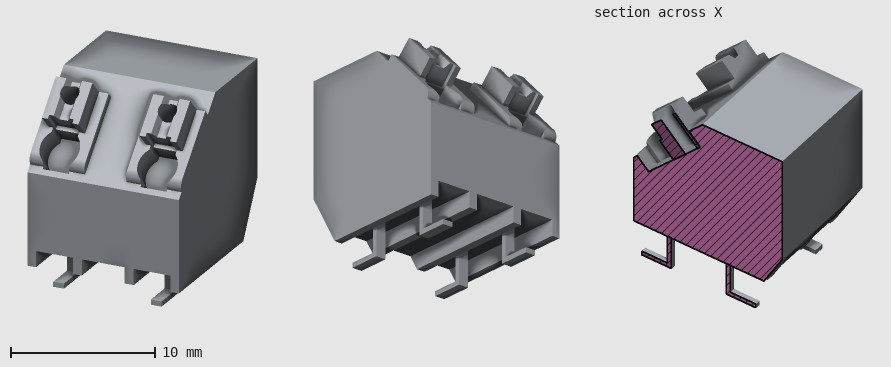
import cadquery as cq
import math


housing_width = 11.64
housing_depth = 12.7
housing_bottom = 1.55
slope_run = 5.88
back_chamfer_depth = 2.28
back_chamfer_height = back_chamfer_depth * math.tan(math.radians(60))
underside = 2.77
foot_width = 0.69

pole_pitch = 7.5
pole_xs = [-pole_pitch / 2, pole_pitch / 2]

plate_inner_x = 1.6
plate_width = housing_width / 2 - plate_inner_x
plate_level = 0.57
plate_start = 1.72
plate_flat_end = 6.95
plate_nose_radius = 0.8

button_width = 2.82
button_length = 3.2
button_start = plate_start
button_end = button_start + button_length
button_level = 2.09
notch_width = 1.88
notch_length = 0.31
notch_level = 0.28
groove_top_width = 1.2
groove_floor_width = 0.65
groove_depth = 0.51
button_hole_radius = 0.7
button_hole_from_start = 1.0
button_hole_down = button_start + button_hole_from_start

overall_height = 14.71
housing_top = overall_height - (button_level - button_start) * math.sqrt(0.5)

entry_offset = -0.05
entry_radius = 1.49
entry_centre_below_button = 1.44
entry_down = button_end + entry_centre_below_button
entry_slot_width = 2.0
entry_slot_end = 7.88
entry_floor_level = -1.37

pin_width = 0.82
pin_thickness = 0.38
pin_foot_length = 2.57
front_pin_back_y = 3.25
rear_pin_front_y = 7.88

slope = cq.Plane(
    origin=(0, slope_run, housing_top),
    xDir=(1, 0, 0),
    normal=(0, -1, 1),
)


def slope_box(x, width, down_start, down_end, level_start, level_end):
    """Box aligned with the slope and centred on x."""
    length = down_end - down_start
    height = level_end - level_start
    return (
        cq.Workplane(slope)
        .transformed(offset=(x, -down_end, level_start))
        .box(width, length, height, centered=(True, False, False))
    )


def slope_cylinder(x, down, radius, level_start, level_end):
    """Cylinder square to the slope."""
    return (
        cq.Workplane(slope)
        .transformed(offset=(x, -down, level_start))
        .circle(radius)
        .extrude(level_end - level_start)
    )


def make_housing_block():
    """Side profile extruded over the full width."""
    return (
        cq.Workplane("YZ", origin=(-housing_width / 2, 0, 0))
        .moveTo(0, housing_bottom)
        .lineTo(0, housing_top - slope_run)
        .lineTo(slope_run, housing_top)
        .lineTo(housing_depth, housing_top)
        .lineTo(housing_depth, housing_bottom + back_chamfer_height)
        .lineTo(housing_depth - back_chamfer_depth, housing_bottom)
        .close()
        .extrude(housing_width)
    )


def make_channel(x, width):
    """Front-to-back channel between the feet."""
    return cq.Workplane(origin=(x, 0, housing_bottom)).box(
        width, housing_depth, underside - housing_bottom, centered=(True, False, False)
    )


def make_plate(right_x):
    """Raised plate with a rounded lower nose, reaching from right_x toward -X."""
    nose_centre_level = plate_level - plate_nose_radius
    nose_angle = math.acos(-nose_centre_level / plate_nose_radius)
    nose_end = plate_flat_end + plate_nose_radius * math.sin(nose_angle)
    nose_mid = (
        plate_flat_end + plate_nose_radius * math.sin(nose_angle / 2),
        nose_centre_level + plate_nose_radius * math.cos(nose_angle / 2),
    )
    side = cq.Plane(
        origin=(right_x, slope_run, housing_top),
        xDir=(0, -1, -1),
        normal=(-1, 0, 0),
    )
    return (
        cq.Workplane(side)
        .moveTo(plate_start, 0)
        .lineTo(plate_start, plate_level)
        .lineTo(plate_flat_end, plate_level)
        .threePointArc(nose_mid, (nose_end, 0))
        .close()
        .extrude(plate_width)
    )


def make_button_pocket(x):
    return slope_box(x, button_width, button_start, button_end, entry_floor_level, button_level)


def make_wire_entry(x):
    """Round wire funnel joined with a straight slot that starts at the button."""
    entry_x = x + entry_offset
    funnel = slope_cylinder(entry_x, entry_down, entry_radius, entry_floor_level, button_level)
    slot = slope_box(
        entry_x, entry_slot_width, button_end, entry_slot_end, entry_floor_level, button_level
    )
    return funnel.union(slot)


def make_housing():
    housing = make_housing_block()
    for right_x in (-plate_inner_x, housing_width / 2):
        housing = housing.union(make_plate(right_x))
    middle_channel_width = pole_pitch - button_width - 2 * foot_width
    housing = housing.cut(make_channel(0, middle_channel_width))
    for x in pole_xs:
        housing = housing.cut(make_channel(x, button_width))
        housing = housing.cut(make_button_pocket(x))
        housing = housing.cut(make_wire_entry(x))
    return housing


def make_groove(x):
    """Screwdriver groove with sloping sides along the whole button."""
    top_half = groove_top_width / 2
    floor_half = groove_floor_width / 2
    return (
        cq.Workplane(slope)
        .transformed(offset=(x, -button_end, button_level), rotate=(90, 0, 0))
        .moveTo(-top_half, 0)
        .lineTo(-floor_half, -groove_depth)
        .lineTo(floor_half, -groove_depth)
        .lineTo(top_half, 0)
        .close()
        .extrude(-button_length)
    )


def make_button(x):
    """Button block with a groove, a through hole and a notch over the wire entry."""
    button = make_button_pocket(x)
    notch = slope_box(
        x, notch_width, button_end - notch_length, button_end, notch_level, button_level
    )
    hole = slope_cylinder(
        x, button_hole_down, button_hole_radius, entry_floor_level, button_level
    )
    return button.cut(notch).cut(make_groove(x)).cut(hole)


def make_pin(x, leg_y, direction):
    """L-shaped pin: leg face at leg_y, foot running along Y in the given direction (+1 or -1)."""
    return (
        cq.Workplane("YZ", origin=(x - pin_width / 2, 0, 0))
        .moveTo(leg_y, 0)
        .lineTo(leg_y + direction * pin_foot_length, 0)
        .lineTo(leg_y + direction * pin_foot_length, pin_thickness)
        .lineTo(leg_y + direction * pin_thickness, pin_thickness)
        .lineTo(leg_y + direction * pin_thickness, underside)
        .lineTo(leg_y, underside)
        .close()
        .extrude(pin_width)
    )


housing = make_housing()
buttons = [make_button(x) for x in pole_xs]
front_pins = [make_pin(x, front_pin_back_y, -1) for x in pole_xs]
rear_pins = [make_pin(x, rear_pin_front_y, 1) for x in pole_xs]

bodies = [housing, *buttons, *front_pins, *rear_pins]
result = cq.Compound.makeCompound([body.solids().val() for body in bodies])